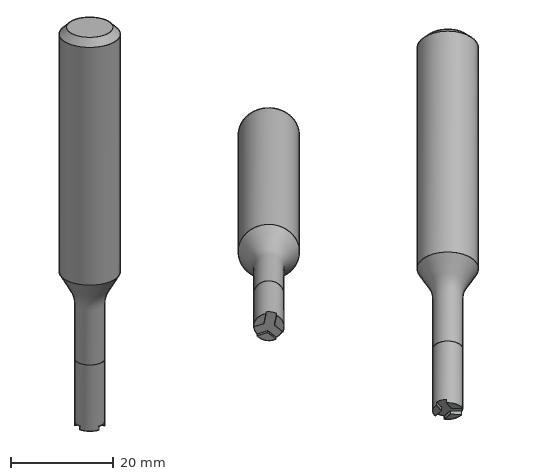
import cadquery as cq
import math

total_length = 86.5
shank_diameter = 12.0
neck_diameter = 6.0
top_chamfer = 1.5
shoulder_height = 33.3
taper_half_angle = math.radians(30)
neck_fillet_radius = 6.0
tip_length = 14.45
slot_count = 3
slot_width = 2.1
slot_depth = 0.8
first_slot_angle = 30.0

shank_radius = shank_diameter / 2
neck_radius = neck_diameter / 2


def arc_point(angle, arc_start_height):
    """Radius and height on the neck fillet after turning by angle from vertical."""
    radius = neck_radius + neck_fillet_radius * (1 - math.cos(angle))
    height = arc_start_height + neck_fillet_radius * math.sin(angle)
    return radius, height


def make_shank():
    """Chamfered shank that tapers through a tangent fillet into the neck."""
    fillet_end_radius, fillet_height = arc_point(taper_half_angle, 0)
    cone_height = (shank_radius - fillet_end_radius) / math.tan(taper_half_angle)
    neck_top = shoulder_height - cone_height - fillet_height
    return (
        cq.Workplane("XZ")
        .moveTo(0, tip_length)
        .lineTo(neck_radius, tip_length)
        .lineTo(neck_radius, neck_top)
        .threePointArc(
            arc_point(taper_half_angle / 2, neck_top),
            arc_point(taper_half_angle, neck_top),
        )
        .lineTo(shank_radius, shoulder_height)
        .lineTo(shank_radius, total_length - top_chamfer)
        .lineTo(shank_radius - top_chamfer, total_length)
        .lineTo(0, total_length)
        .close()
        .revolve(360, (0, 0, 0), (0, 1, 0))
    )


def make_slot_cutter(angle):
    """Radial slot running from the axis outward at the given angle."""
    return (
        cq.Workplane("XY")
        .box(shank_radius, slot_width, slot_depth, centered=(False, True, False))
        .rotate((0, 0, 0), (0, 0, 1), angle)
    )


def make_tip():
    """Cylindrical tip with equally spaced radial slots across its lower face."""
    tip = cq.Workplane("XY").circle(neck_radius).extrude(tip_length)
    for index in range(slot_count):
        angle = first_slot_angle + index * 360 / slot_count
        tip = tip.cut(make_slot_cutter(angle))
    return tip


shank = make_shank()
tip = make_tip()

result = cq.Compound.makeCompound([shank.val(), tip.val()])